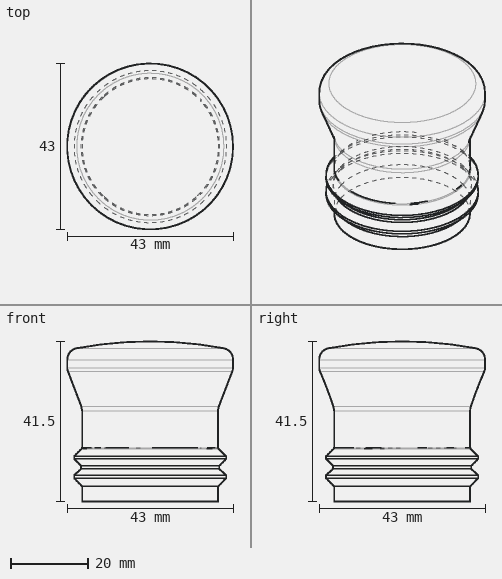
import cadquery as cq
import math

head_radius = 21.5
body_radius = 17.65
ridge_radius = 19.75
groove_radius = 17.95

lower_ridge_start = 3.9
lower_crest_bottom = 6.05
lower_crest_top = 6.85
groove_bottom = 8.43
groove_top = 9.25
upper_crest_bottom = 11.05
upper_crest_top = 11.7
flare_start = 24.12
flare_end = 34.2
rim_start = 36.75
total_height = 41.5

rim_round = 3.0
flare_top_round = 2.6
flare_root_round = 3.45
ridge_root_round = 0.45

upper_ridge_end = upper_crest_top + ridge_radius - body_radius

rim_center_radius = head_radius - rim_round
dome_rise = total_height - rim_start - rim_round
dome_radius = rim_round + (rim_center_radius**2 + dome_rise**2) / (2 * dome_rise)
dome_center_height = total_height - dome_radius


def dome_point(angle):
    """Point on the dome at the given angle from the axis."""
    return (dome_radius * math.sin(angle), dome_center_height + dome_radius * math.cos(angle))


def rim_point(angle):
    """Point on the rim round at the given angle from the axis direction."""
    return (
        rim_center_radius + rim_round * math.sin(angle),
        rim_start + rim_round * math.cos(angle),
    )


def turned_body():
    """Revolve the half profile about Z, with sharp corners at the flare and ridge root."""
    tangent_angle = math.asin(rim_center_radius / (dome_radius - rim_round))
    rim_middle_angle = (tangent_angle + math.pi / 2) / 2
    profile = (
        cq.Workplane("XZ")
        .moveTo(0, 0)
        .lineTo(body_radius, 0)
        .lineTo(body_radius, lower_ridge_start)
        .lineTo(ridge_radius, lower_crest_bottom)
        .lineTo(ridge_radius, lower_crest_top)
        .lineTo(groove_radius, groove_bottom)
        .lineTo(groove_radius, groove_top)
        .lineTo(ridge_radius, upper_crest_bottom)
        .lineTo(ridge_radius, upper_crest_top)
        .lineTo(body_radius, upper_ridge_end)
        .lineTo(body_radius, flare_start)
        .lineTo(head_radius, flare_end)
        .lineTo(head_radius, rim_start)
        .threePointArc(rim_point(rim_middle_angle), rim_point(tangent_angle))
        .threePointArc(dome_point(tangent_angle / 2), (0, total_height))
        .close()
    )
    return profile.revolve(360, (0, 0, 0), (0, 1, 0))


def round_ring(solid, ring_radius, height, round_radius):
    """Round the circular edge of the given radius and height."""
    margin = 0.05
    half_width = ring_radius + margin
    ring_box = cq.selectors.BoxSelector(
        (-half_width, -half_width, height - margin),
        (half_width, half_width, height + margin),
        boundingbox=True,
    )
    return solid.edges(ring_box).fillet(round_radius)


result = turned_body()
result = round_ring(result, body_radius, upper_ridge_end, ridge_root_round)
result = round_ring(result, body_radius, flare_start, flare_root_round)
result = round_ring(result, head_radius, flare_end, flare_top_round)